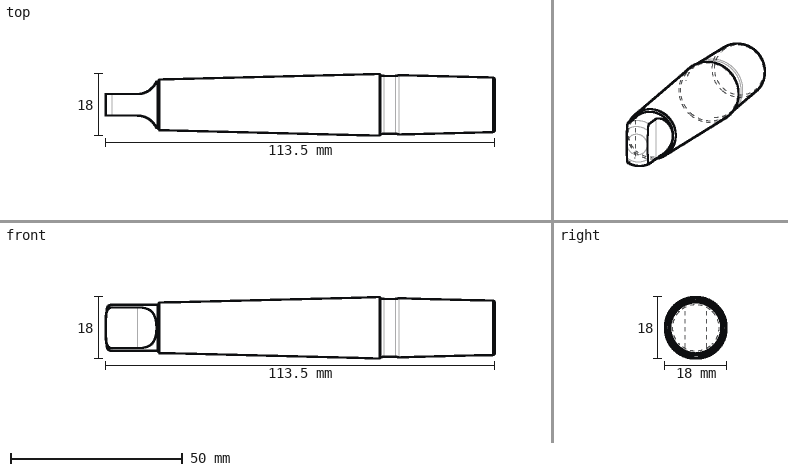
import cadquery as cq
import math

total_length = 113.5
tang_end = 15.2
body_start = 15.8
body_end = 79.8
shoulder_end = 80.1
neck_start = 81.2
neck_end = 84.6
nose_start = 85.6
nose_chamfer = 0.6

radius_taper = 1 / 40
largest_radius = 18.0 / 2
body_small_radius = largest_radius - radius_taper * (body_end - body_start)
shoulder_radius = 17.3 / 2
neck_radius = 16.9 / 2
nose_large_radius = 17.4 / 2
nose_end = total_length - nose_chamfer
nose_small_radius = nose_large_radius - radius_taper * (nose_end - nose_start)

tang_radius = 13.5 / 2
tang_tip_rounding = 1.5
tip_land_radius = 3.1
tip_crown = 0.3
tang_thickness = 6.4
flat_length = 9.3
runout_radius = 6.0


def turned_blank():
    """Revolve the complete tapered profile about the X axis."""
    crown_edge_radius = tang_radius - tang_tip_rounding
    tip_arc_offset = tang_tip_rounding * math.sqrt(0.5)
    rounding_end = tip_crown + tang_tip_rounding
    profile = (
        cq.Workplane("XY")
        .lineTo(0, tip_land_radius)
        .lineTo(tip_crown, crown_edge_radius)
        .threePointArc(
            (rounding_end - tip_arc_offset, crown_edge_radius + tip_arc_offset),
            (rounding_end, tang_radius),
        )
        .lineTo(tang_end, tang_radius)
        .lineTo(body_start, body_small_radius)
        .lineTo(body_end, largest_radius)
        .lineTo(shoulder_end, shoulder_radius)
        .lineTo(neck_start, neck_radius)
        .lineTo(neck_end, neck_radius)
        .lineTo(nose_start, nose_large_radius)
        .lineTo(nose_end, nose_small_radius)
        .lineTo(total_length, nose_small_radius - nose_chamfer)
        .lineTo(total_length, 0)
        .close()
    )
    return profile.revolve(360, (0, 0, 0), (1, 0, 0))


def flat_cutter(side):
    """Block that mills one tang flat, ending in a cylindrical cutter runout."""
    half_thickness = tang_thickness / 2
    cutter_center = half_thickness + runout_radius
    arc_offset = runout_radius * math.sqrt(0.5)
    outline = (
        cq.Workplane("XY")
        .moveTo(0, side * half_thickness)
        .lineTo(flat_length, side * half_thickness)
        .threePointArc(
            (flat_length + arc_offset, side * (cutter_center - arc_offset)),
            (flat_length + runout_radius, side * cutter_center),
        )
        .lineTo(0, side * cutter_center)
        .close()
    )
    return outline.extrude(largest_radius, both=True)


result = turned_blank()
for side in (-1, 1):
    result = result.cut(flat_cutter(side))